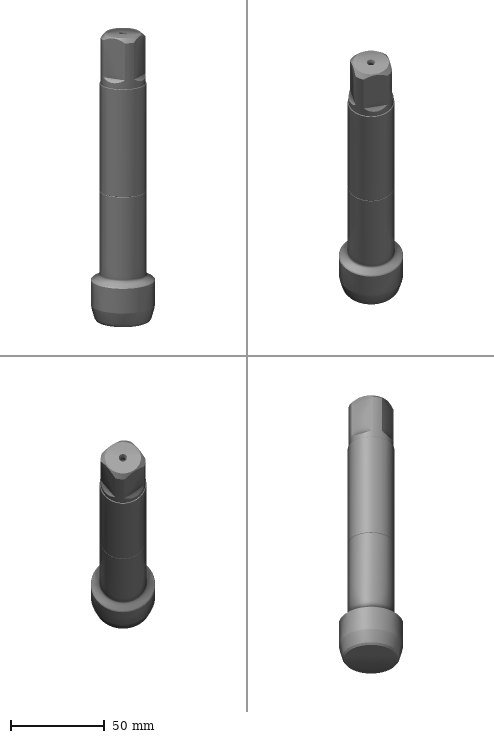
import cadquery as cq
import math

total_height = 160.0
joint_height = 72.0

shaft_radius = 25.0 / 2
edge_chamfer = 0.2

neck_radius = 24.0 / 2
neck_bottom = 132.2
square_half_width = 10.0
flat_bottom = 137.1
tip_radius = 9.6
tip_chamfer_height = 2.2

center_hole_radius = 2.5 / 2
center_hole_depth = 4.0
center_mouth_radius = 2.2
countersink_angle = math.radians(60)
drill_point_angle = math.radians(118)

head_radius = 34.4 / 2
head_edge_chamfer = 0.5
head_top = 22.7
head_bottom = 8.5
shoulder_angle = math.radians(30)
shoulder_fillet = 1.3
nose_end_radius = 15.4
nose_end_height = 1.1
nose_bulge = 0.2
foot_radius = 14.5


def make_drive_shaft():
    """Upper shaft with the neck, the chamfered square drive and the centre hole."""
    body = (
        cq.Workplane("XZ")
        .moveTo(0, joint_height)
        .lineTo(shaft_radius - edge_chamfer, joint_height)
        .lineTo(shaft_radius, joint_height + edge_chamfer)
        .lineTo(shaft_radius, neck_bottom - edge_chamfer)
        .lineTo(shaft_radius - edge_chamfer, neck_bottom)
        .lineTo(neck_radius, neck_bottom)
        .lineTo(neck_radius, total_height - tip_chamfer_height)
        .lineTo(tip_radius, total_height)
        .lineTo(0, total_height)
        .close()
        .revolve(360, (0, 0), (0, 1))
    )
    flat_cutter = make_flat_cutter()
    for side in range(4):
        body = body.cut(flat_cutter.rotate((0, 0, 0), (0, 0, 1), 90 * side))
    return body.cut(make_center_hole())


def make_flat_cutter():
    """Wedge-ended block that cuts the +X flat and its 45 degree run-out."""
    run_out = shaft_radius - square_half_width
    return (
        cq.Workplane("XZ")
        .moveTo(square_half_width, total_height)
        .lineTo(square_half_width, flat_bottom)
        .lineTo(shaft_radius, flat_bottom - run_out)
        .lineTo(shaft_radius, total_height)
        .close()
        .extrude(shaft_radius, both=True)
    )


def make_center_hole():
    """Countersunk blind hole with a conical drill point."""
    countersink_depth = (center_mouth_radius - center_hole_radius) / math.tan(countersink_angle / 2)
    point_depth = center_hole_radius / math.tan(drill_point_angle / 2)
    hole_bottom = total_height - center_hole_depth
    return (
        cq.Workplane("XZ")
        .moveTo(0, total_height)
        .lineTo(center_mouth_radius, total_height)
        .lineTo(center_hole_radius, total_height - countersink_depth)
        .lineTo(center_hole_radius, hole_bottom)
        .lineTo(0, hole_bottom - point_depth)
        .close()
        .revolve(360, (0, 0), (0, 1))
    )


def make_headed_shaft():
    """Lower shaft that widens through a filleted shoulder into the rounded head."""
    fillet_turn = math.pi / 2 - shoulder_angle
    fillet_end_radius = shaft_radius + shoulder_fillet * (1 - math.cos(fillet_turn))
    fillet_mid_radius = shaft_radius + shoulder_fillet * (1 - math.cos(fillet_turn / 2))
    rim_radius = head_radius - head_edge_chamfer
    fillet_end_height = head_top + (rim_radius - fillet_end_radius) * math.tan(shoulder_angle)
    fillet_center_height = fillet_end_height + shoulder_fillet * math.sin(fillet_turn)
    fillet_mid_height = fillet_center_height - shoulder_fillet * math.sin(fillet_turn / 2)

    nose_mid_radius = (head_radius + nose_end_radius) / 2 + nose_bulge
    nose_mid_height = (head_bottom + nose_end_height) / 2

    return (
        cq.Workplane("XZ")
        .lineTo(foot_radius, 0)
        .lineTo(nose_end_radius, nose_end_height)
        .threePointArc((nose_mid_radius, nose_mid_height), (head_radius, head_bottom))
        .lineTo(head_radius, head_top - head_edge_chamfer)
        .lineTo(rim_radius, head_top)
        .lineTo(fillet_end_radius, fillet_end_height)
        .threePointArc((fillet_mid_radius, fillet_mid_height), (shaft_radius, fillet_center_height))
        .lineTo(shaft_radius, joint_height - edge_chamfer)
        .lineTo(shaft_radius - edge_chamfer, joint_height)
        .lineTo(0, joint_height)
        .close()
        .revolve(360, (0, 0), (0, 1))
    )


drive_shaft = make_drive_shaft()
headed_shaft = make_headed_shaft()

result = cq.Compound.makeCompound([drive_shaft.val(), headed_shaft.val()])